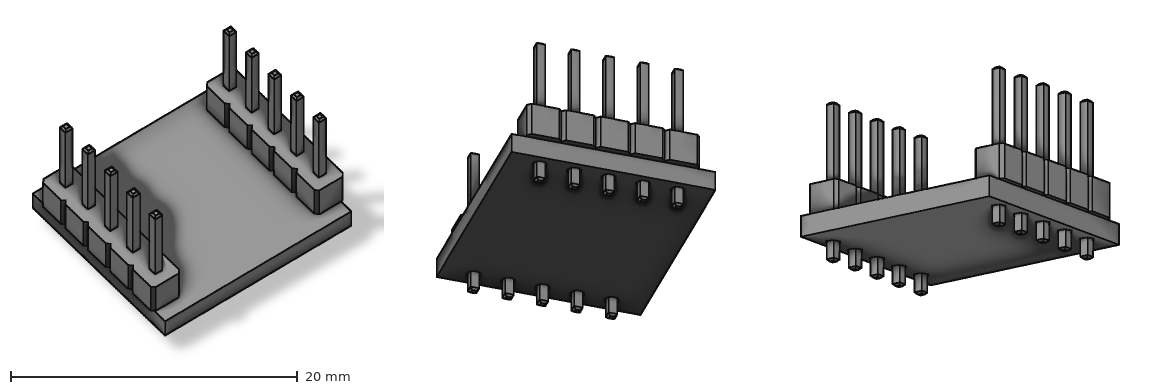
import cadquery as cq

BOARD_LENGTH = 15.0
BOARD_WIDTH = 16.5
BOARD_THICKNESS = 1.52
PIN_HOLE_DIAMETER = 1.0

OVERALL_WIDTH = 17.04
PIN_COUNT = 5
PITCH = 2.54
ROW_SPACING = OVERALL_WIDTH - PITCH
ROWS_OFFSET_X = 0.048
ROWS_OFFSET_Y = 0.048
STRIP_HEIGHT = PITCH
STRIP_CHAMFER = 0.25
STRIP_GAP = 0.09

PIN_SIDE = 0.65
PIN_LENGTH = 11.54
PIN_TIP_CHAMFER = 0.16
PIN_DEPTH_BELOW_STRIP = 3.0

STRIP_BOTTOM = BOARD_THICKNESS + STRIP_GAP
PIN_BOTTOM = STRIP_BOTTOM - PIN_DEPTH_BELOW_STRIP

PIN_XS = [ROWS_OFFSET_X + (i - (PIN_COUNT - 1) / 2) * PITCH for i in range(PIN_COUNT)]
ROW_YS = [ROWS_OFFSET_Y + side * ROW_SPACING / 2 for side in (-1, 1)]


def make_board():
    """Flat board with a clearance hole for every header pin."""
    hole_centres = [(x, y) for x in PIN_XS for y in ROW_YS]
    return (
        cq.Workplane("XY")
        .box(BOARD_LENGTH, BOARD_WIDTH, BOARD_THICKNESS, centered=(True, True, False))
        .faces(">Z")
        .workplane()
        .pushPoints(hole_centres)
        .hole(PIN_HOLE_DIAMETER)
    )


def make_cell(x, y):
    """One square cell of the header strip, with its upright edges chamfered."""
    return (
        cq.Workplane("XY")
        .box(PITCH, PITCH, STRIP_HEIGHT, centered=(True, True, False))
        .edges("|Z")
        .chamfer(STRIP_CHAMFER)
        .translate((x, y, STRIP_BOTTOM))
    )


def make_pin(x, y):
    """One square pin, tapered on all four sides at both ends."""
    return (
        cq.Workplane("XY")
        .box(PIN_SIDE, PIN_SIDE, PIN_LENGTH, centered=(True, True, False))
        .faces("<Z or >Z")
        .chamfer(PIN_TIP_CHAMFER)
        .translate((x, y, PIN_BOTTOM))
    )


def make_header(y):
    """Row of joined cells, each with its pin; chamfers between cells form V notches."""
    header = make_cell(PIN_XS[0], y)
    for x in PIN_XS[1:]:
        header = header.union(make_cell(x, y))
    for x in PIN_XS:
        header = header.union(make_pin(x, y))
    return header


board = make_board()
headers = [make_header(y) for y in ROW_YS]

result = cq.Compound.makeCompound([board.val(), *[header.val() for header in headers]])